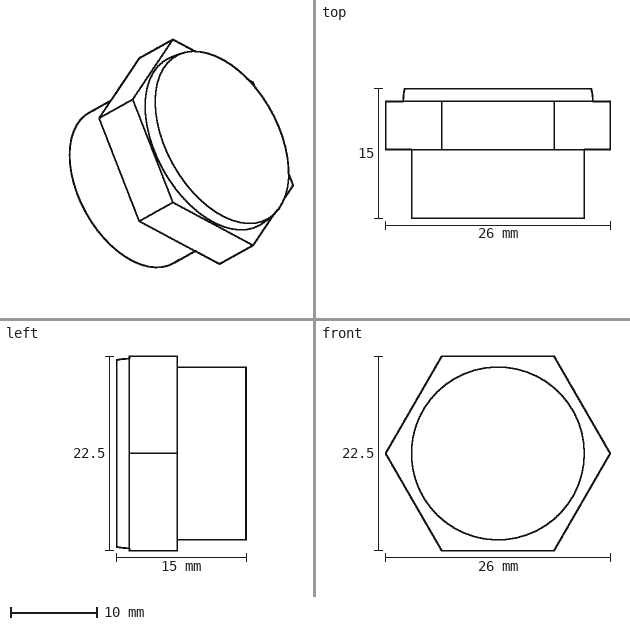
import cadquery as cq
import math

hex_across_corners = 26.0
hex_thickness = 5.56
plug_diameter = 20.0
plug_length = 7.95
cap_base_radius = 11.0
cap_end_radius = 10.82
cap_thickness = 1.48

hex_front_y = plug_length
cap_base_y = hex_front_y + hex_thickness
cap_end_y = cap_base_y + cap_thickness


def cross_section(y):
    """Workplane across the axis at the given Y, extruding toward +Y."""
    return cq.Workplane(cq.Plane(origin=(0, y, 0), xDir=(1, 0, 0), normal=(0, 1, 0)))


def make_plug():
    """Plain round plug, butting against the front of the hexagon."""
    return cross_section(0).circle(plug_diameter / 2).extrude(plug_length)


def make_hex_flange():
    """Hexagonal flange with two corners on the X axis."""
    return cross_section(hex_front_y).polygon(6, hex_across_corners).extrude(hex_thickness)


def make_cap():
    """Round cap behind the flange, its rim curving inward toward the far face."""
    inset = cap_base_radius - cap_end_radius
    rim_radius = (cap_thickness**2 + inset**2) / (2 * inset)
    mid_y = cap_thickness / 2
    mid_radius = cap_base_radius - rim_radius + math.sqrt(rim_radius**2 - mid_y**2)
    return (
        cq.Workplane("XY")
        .moveTo(0, cap_base_y)
        .lineTo(cap_base_radius, cap_base_y)
        .threePointArc((mid_radius, cap_base_y + mid_y), (cap_end_radius, cap_end_y))
        .lineTo(0, cap_end_y)
        .close()
        .revolve(360, (0, 0, 0), (0, 1, 0))
    )


plug = make_plug()
hex_flange = make_hex_flange()
cap = make_cap()

result = cq.Compound.makeCompound([plug.val(), hex_flange.val(), cap.val()])